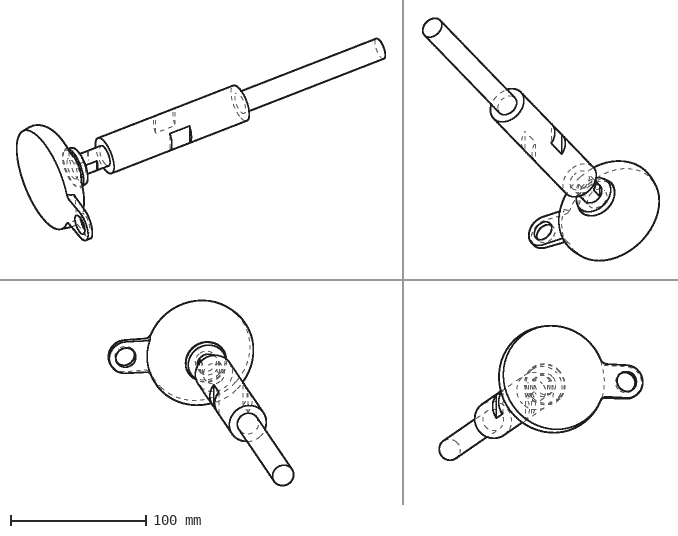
import cadquery as cq
import math

TOTAL_LENGTH = 286.5

PAD_RADIUS = 39.97
SOLE_RADIUS = 39.0
RIM_BOTTOM = 6.0
RIM_TOP = 8.5
SHOULDER_RADIUS = 35.0
SHOULDER_HEIGHT = 15.5
SHOULDER_BULGE_RADIUS = 38.5
SHOULDER_BULGE_HEIGHT = 12.3
NECK_RADIUS = 16.0
NECK_HEIGHT = 23.8
GROOVE_RADIUS = 14.5
GROOVE_HEIGHT = 25.0
COLLAR_BOTTOM = 26.0
COLLAR_BOTTOM_RADIUS = 15.5
COLLAR_TOP = 30.5
COLLAR_TOP_RADIUS = 14.3
CROWN_HEIGHT = 32.5
SOCKET_FLOOR = GROOVE_HEIGHT

OVERALL_WIDTH = 108.0
LUG_RADIUS = 12.3
LUG_HOLE_DIAMETER = 15.0
LUG_ROOT_RADIUS = 5.0
LUG_ROOT_THICKNESS = 5.5
LUG_TIP_THICKNESS = 3.7
LUG_TIP_X = OVERALL_WIDTH - PAD_RADIUS
LUG_HOLE_X = LUG_TIP_X - LUG_RADIUS

ROD_RADIUS = 16.0 / 2
ROD_FLATS_WIDTH = 13.0
ROD_FLATS_LENGTH = 10.0
SLEEVE_RADIUS = 28.0 / 2
SLEEVE_START = 52.7
SLEEVE_LENGTH = 115.0
SLEEVE_FLATS_WIDTH = 22.0
SLEEVE_FLATS_LENGTH = 16.5


def cylinder(radius, start, length):
    """Cylinder on the Y axis running from start towards +Y."""
    return cq.Workplane("XZ", origin=(0, start, 0)).circle(radius).extrude(-length)


def pad_disc():
    """Revolved pad: drafted rim, rounded shoulder, cone, groove and collar."""
    return (
        cq.Workplane("XY")
        .lineTo(SOLE_RADIUS, 0)
        .lineTo(PAD_RADIUS, RIM_BOTTOM)
        .lineTo(PAD_RADIUS, RIM_TOP)
        .threePointArc((SHOULDER_BULGE_RADIUS, SHOULDER_BULGE_HEIGHT), (SHOULDER_RADIUS, SHOULDER_HEIGHT))
        .lineTo(NECK_RADIUS, NECK_HEIGHT)
        .lineTo(GROOVE_RADIUS, GROOVE_HEIGHT)
        .lineTo(COLLAR_BOTTOM_RADIUS, COLLAR_BOTTOM)
        .lineTo(COLLAR_TOP_RADIUS, COLLAR_TOP)
        .lineTo(ROD_RADIUS, CROWN_HEIGHT)
        .lineTo(0, CROWN_HEIGHT)
        .close()
        .revolve(360, (0, 0, 0), (0, 1, 0))
    )


def lug():
    """Tapering lug whose root arcs run tangentially into the edge of the sole."""
    arc_z = LUG_RADIUS + LUG_ROOT_RADIUS
    arc_distance = SOLE_RADIUS + LUG_ROOT_RADIUS
    arc_x = math.sqrt(arc_distance**2 - arc_z**2)
    root_x = arc_x * SOLE_RADIUS / arc_distance
    root_z = arc_z * SOLE_RADIUS / arc_distance
    middle_angle = (math.atan2(-arc_z, -arc_x) - math.pi / 2) / 2
    middle_x = arc_x + LUG_ROOT_RADIUS * math.cos(middle_angle)
    middle_z = arc_z + LUG_ROOT_RADIUS * math.sin(middle_angle)

    outline = (
        cq.Workplane("XZ")
        .lineTo(root_x, root_z)
        .threePointArc((middle_x, middle_z), (arc_x, LUG_RADIUS))
        .lineTo(LUG_HOLE_X, LUG_RADIUS)
        .threePointArc((LUG_TIP_X, 0), (LUG_HOLE_X, -LUG_RADIUS))
        .lineTo(arc_x, -LUG_RADIUS)
        .threePointArc((middle_x, -middle_z), (root_x, -root_z))
        .close()
        .extrude(-PAD_RADIUS)
    )
    taper = (
        cq.Workplane("XY")
        .polyline([
            (0, 0),
            (LUG_TIP_X, 0),
            (LUG_TIP_X, LUG_TIP_THICKNESS),
            (arc_x, LUG_ROOT_THICKNESS),
            (0, LUG_ROOT_THICKNESS),
        ])
        .close()
        .extrude(PAD_RADIUS, both=True)
    )
    return outline.intersect(taper)


def make_foot_pad():
    """Pad with its lug, the lug hole and the blind socket for the spindle."""
    lug_hole = cylinder(LUG_HOLE_DIAMETER / 2, 0, LUG_ROOT_THICKNESS).translate((LUG_HOLE_X, 0, 0))
    socket = cylinder(ROD_RADIUS, SOCKET_FLOOR, CROWN_HEIGHT - SOCKET_FLOOR)
    return pad_disc().union(lug()).cut(lug_hole).cut(socket)


def cut_flats(body, radius, width, start, length):
    """Cut two parallel wrench flats facing -X and +X."""
    depth = radius - width / 2
    for side in (-1, 1):
        cutter = cq.Workplane("XY").box(depth, length, 2 * radius)
        body = body.cut(cutter.translate((side * (width + depth) / 2, start + length / 2, 0)))
    return body


def make_spindle():
    """Rod seated in the pad socket, with the sleeve around its middle."""
    rod = cylinder(ROD_RADIUS, SOCKET_FLOOR, TOTAL_LENGTH - SOCKET_FLOOR)
    rod = cut_flats(rod, ROD_RADIUS, ROD_FLATS_WIDTH, CROWN_HEIGHT, ROD_FLATS_LENGTH)
    sleeve = cylinder(SLEEVE_RADIUS, SLEEVE_START, SLEEVE_LENGTH)
    flats_start = SLEEVE_START + (SLEEVE_LENGTH - SLEEVE_FLATS_LENGTH) / 2
    sleeve = cut_flats(sleeve, SLEEVE_RADIUS, SLEEVE_FLATS_WIDTH, flats_start, SLEEVE_FLATS_LENGTH)
    return rod.union(sleeve)


foot_pad = make_foot_pad()
spindle = make_spindle()
result = cq.Compound.makeCompound([foot_pad.solids().val(), spindle.solids().val()])